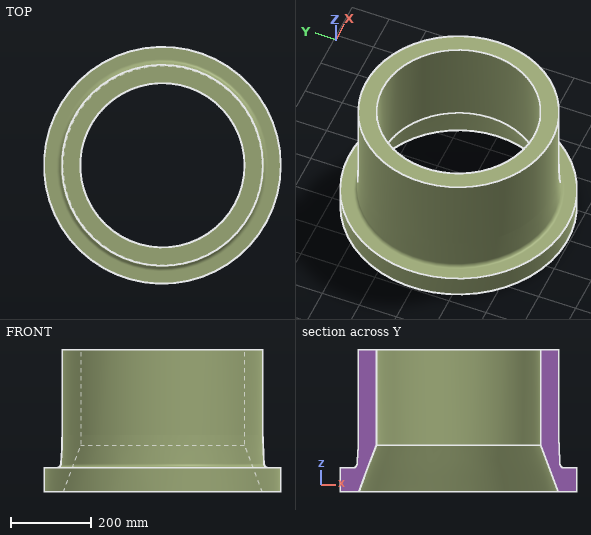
import cadquery as cq

flange_radius = 295.0
flange_thickness = 60.0
total_height = 354.0
tube_radius = 250.0
bore_radius = 204.0
hub_base_radius = 253.0
hub_top = 141.5
fillet_radius = 10.5
bore_flare_top = 116.0
bore_flare_radius = 248.0

half_section = (
    cq.Workplane("XZ")
    .moveTo(bore_flare_radius, 0)
    .lineTo(flange_radius, 0)
    .lineTo(flange_radius, flange_thickness)
    .lineTo(hub_base_radius + fillet_radius, flange_thickness)
    .radiusArc((hub_base_radius, flange_thickness + fillet_radius), fillet_radius)
    .lineTo(tube_radius, hub_top)
    .lineTo(tube_radius, total_height)
    .lineTo(bore_radius, total_height)
    .lineTo(bore_radius, bore_flare_top)
    .close()
)

result = half_section.revolve(360, (0, 0, 0), (0, 1, 0))